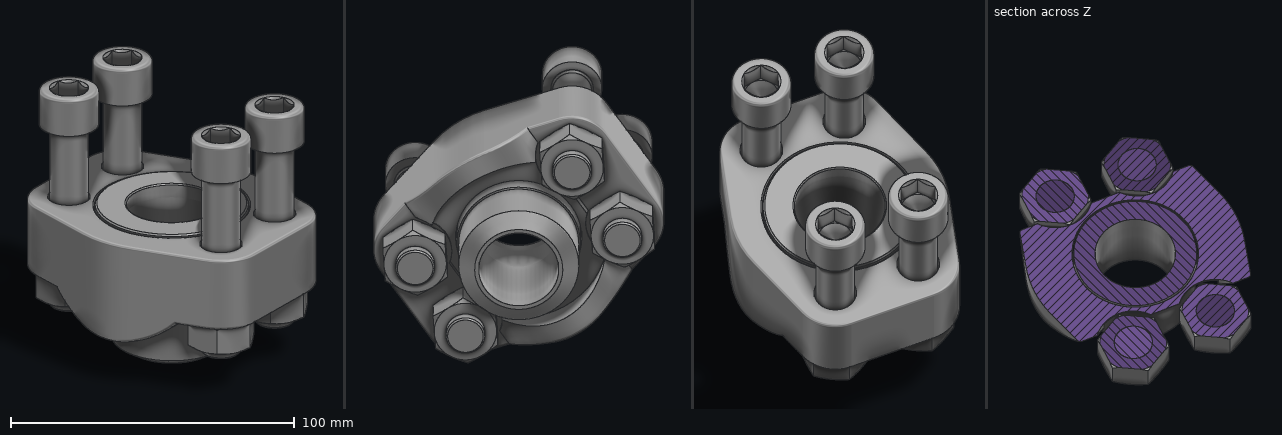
import cadquery as cq
import math

TOTAL_HEIGHT = 96.5
FLANGE_BOTTOM = 27.4
FLANGE_THICKNESS = 26.9
FLANGE_TOP = FLANGE_BOTTOM + FLANGE_THICKNESS

BOLT_SPACING_X = 66.7
BOLT_SPACING_Y = 31.75
BOLT_X = BOLT_SPACING_X / 2
BOLT_Y = BOLT_SPACING_Y / 2
BOLT_PLACES = [(x, y, 0) for x in (-BOLT_X, BOLT_X) for y in (-BOLT_Y, BOLT_Y)]

FLANGE_LENGTH = 96.0
FLANGE_WIDTH = 78.0
CORNER_RADIUS = FLANGE_LENGTH / 2 - BOLT_X
SIDE_RADIUS = FLANGE_WIDTH / 2
FLANGE_EDGE_RADIUS = 1.1
BULGE_DROP = 11.1
BULGE_WIDTH = 52.1
BULGE_BOTTOM = FLANGE_BOTTOM - BULGE_DROP
CLEARANCE_DIAMETER = 62.3
CLEARANCE_FLOOR = 26.5
BOLT_HOLE_DIAMETER = 15.0
NUT_SEAT_DIAMETER = 25.9
FLANGE_BORE_DIAMETER = 44.5
RECESS_DIAMETER = 54.7
RECESS_DEPTH = 14.0
RECESS_FLOOR = FLANGE_TOP - RECESS_DEPTH
RECESS_CHAMFER = 0.5

COLLAR_DIAMETER = 54.0
COLLAR_PROTRUSION = 0.8
COLLAR_CHAMFER = 0.6
COLLAR_TOP = FLANGE_TOP + COLLAR_PROTRUSION
SHOULDER_DIAMETER = 43.5
SHOULDER_BOTTOM = 21.7
SHOULDER_CHAMFER = 0.3
NECK_DIAMETER = 42.4
WELD_BEVEL_HEIGHT = 3.3
WELD_EDGE_BREAK = 0.3
WELD_FACE_DIAMETER = 31.1
BORE_TOP_DIAMETER = 32.0
BORE_DIAMETER = 28.2
BORE_CHAMFER = 0.5
BORE_TOP_DEPTH = 5.3
BORE_TAPER_LENGTH = 17.4

SHANK_DIAMETER = 13.7
BOLT_LENGTH = 70.0
BOLT_END_CHAMFER = 0.6
HEAD_DIAMETER = 21.0
HEAD_HEIGHT = 14.0
HEAD_EDGE_RADIUS = 1.4
HEAD_BOTTOM = TOTAL_HEIGHT - HEAD_HEIGHT
BOLT_END = HEAD_BOTTOM - BOLT_LENGTH
UNDERHEAD_DIAMETER = 15.1
UNDERHEAD_LAND = 0.4
UNDERHEAD_HEIGHT = 1.3
SOCKET_WIDTH = 12.0
SOCKET_DEPTH = 8.0
SOCKET_TIP_ANGLE = 120.0
SOCKET_TURN = 39.0

HEX_SIDES = 6
HEX_HALF_ANGLE = 180.0 / HEX_SIDES

NUT_WIDTH = 22.0
NUT_HEIGHT = 11.0
NUT_CHAMFER_ANGLE = 30.0


def across_corners(width):
    """Corner-to-corner size of a hexagon with the given width across flats."""
    return width / math.cos(math.radians(HEX_HALF_ANGLE))


def revolved(outline):
    """Solid of revolution about Z from (radius, height) points."""
    return cq.Workplane("XZ").polyline(outline).close().revolve(360, (0, 0, 0), (0, 1, 0))


def cylinder(diameter, bottom, top):
    """Upright cylinder on the Z axis between two heights."""
    return cq.Workplane("XY").workplane(offset=bottom).circle(diameter / 2).extrude(top - bottom)


def flange_outline():
    """Plan-shaped prism whose straight flanks are tangent to the side arcs and the corner arcs."""
    diagonal = math.hypot(BOLT_X, BOLT_Y)
    tilt = math.atan2(BOLT_X, BOLT_Y) - math.acos((SIDE_RADIUS - CORNER_RADIUS) / diagonal)
    side_x = SIDE_RADIUS * math.sin(tilt)
    side_y = SIDE_RADIUS * math.cos(tilt)
    flank_x = BOLT_X + CORNER_RADIUS * math.sin(tilt)
    flank_y = BOLT_Y + CORNER_RADIUS * math.cos(tilt)
    mid_angle = (math.pi / 2 - tilt) / 2
    mid_x = BOLT_X + CORNER_RADIUS * math.cos(mid_angle)
    mid_y = BOLT_Y + CORNER_RADIUS * math.sin(mid_angle)
    end_x = FLANGE_LENGTH / 2
    return (
        cq.Workplane("XY")
        .workplane(offset=BULGE_BOTTOM)
        .moveTo(-side_x, side_y)
        .threePointArc((0, SIDE_RADIUS), (side_x, side_y))
        .lineTo(flank_x, flank_y)
        .threePointArc((mid_x, mid_y), (end_x, BOLT_Y))
        .lineTo(end_x, -BOLT_Y)
        .threePointArc((mid_x, -mid_y), (flank_x, -flank_y))
        .lineTo(side_x, -side_y)
        .threePointArc((0, -SIDE_RADIUS), (-side_x, -side_y))
        .lineTo(-flank_x, -flank_y)
        .threePointArc((-mid_x, -mid_y), (-end_x, -BOLT_Y))
        .lineTo(-end_x, BOLT_Y)
        .threePointArc((-mid_x, mid_y), (-flank_x, flank_y))
        .close()
        .extrude(FLANGE_TOP - BULGE_BOTTOM)
    )


def side_profile():
    """Prism along Y with a flat bottom and a round bulge in the middle."""
    half_width = BULGE_WIDTH / 2
    half_length = FLANGE_LENGTH / 2
    return (
        cq.Workplane("XZ", origin=(0, FLANGE_WIDTH / 2, 0))
        .moveTo(-half_length, FLANGE_TOP)
        .lineTo(-half_length, FLANGE_BOTTOM)
        .lineTo(-half_width, FLANGE_BOTTOM)
        .threePointArc((0, BULGE_BOTTOM), (half_width, FLANGE_BOTTOM))
        .lineTo(half_length, FLANGE_BOTTOM)
        .lineTo(half_length, FLANGE_TOP)
        .close()
        .extrude(FLANGE_WIDTH)
    )


def round_rim(flange):
    """Round the top and bottom outlines, leaving the two creases beside the bulge sharp."""
    crease_x = BULGE_WIDTH / 2 + FLANGE_EDGE_RADIUS
    creases = cq.selectors.BoxSelector(
        (-crease_x, -FLANGE_EDGE_RADIUS, BULGE_BOTTOM),
        (crease_x, FLANGE_EDGE_RADIUS, FLANGE_TOP),
    )
    rim = cq.selectors.StringSyntaxSelector("not |Z") - creases
    return flange.edges(rim).fillet(FLANGE_EDGE_RADIUS)


def neck_recess():
    """Recess for the collar, chamfered at its mouth."""
    radius = RECESS_DIAMETER / 2
    return revolved([
        (0, RECESS_FLOOR),
        (radius, RECESS_FLOOR),
        (radius, FLANGE_TOP - RECESS_CHAMFER),
        (radius + RECESS_CHAMFER, FLANGE_TOP),
        (0, FLANGE_TOP),
    ])


def make_flange():
    """Clamp flange, relieved around the neck and nuts and drilled for the bolts."""
    flange = round_rim(flange_outline().intersect(side_profile()))
    flange = flange.cut(cylinder(CLEARANCE_DIAMETER, BULGE_BOTTOM, CLEARANCE_FLOOR))
    flange = flange.cut(cylinder(FLANGE_BORE_DIAMETER, BULGE_BOTTOM, FLANGE_TOP))
    flange = flange.cut(neck_recess())
    hole = cylinder(BOLT_HOLE_DIAMETER, BULGE_BOTTOM, FLANGE_TOP)
    nut_seat = cylinder(NUT_SEAT_DIAMETER, BULGE_BOTTOM, FLANGE_BOTTOM)
    for place in BOLT_PLACES:
        flange = flange.cut(hole.translate(place)).cut(nut_seat.translate(place))
    return flange


def make_neck():
    """Bored weld neck whose collar rests on the floor of the flange recess."""
    collar = COLLAR_DIAMETER / 2
    shoulder = SHOULDER_DIAMETER / 2
    neck = NECK_DIAMETER / 2
    bore = BORE_DIAMETER / 2
    bore_top = BORE_TOP_DIAMETER / 2
    return revolved([
        (bore, 0),
        (WELD_FACE_DIAMETER / 2, 0),
        (neck - WELD_EDGE_BREAK, WELD_BEVEL_HEIGHT),
        (neck, WELD_BEVEL_HEIGHT + WELD_EDGE_BREAK),
        (neck, SHOULDER_BOTTOM),
        (shoulder, SHOULDER_BOTTOM + SHOULDER_CHAMFER),
        (shoulder, RECESS_FLOOR),
        (collar, RECESS_FLOOR),
        (collar, COLLAR_TOP - COLLAR_CHAMFER),
        (collar - COLLAR_CHAMFER, COLLAR_TOP),
        (bore_top + BORE_CHAMFER, COLLAR_TOP),
        (bore_top, COLLAR_TOP - BORE_CHAMFER),
        (bore_top, COLLAR_TOP - BORE_TOP_DEPTH),
        (bore, COLLAR_TOP - BORE_TOP_DEPTH - BORE_TAPER_LENGTH),
    ])


def make_bolt():
    """Socket head bolt on the Z axis, with a coned socket floor and a countersunk socket mouth."""
    shank = SHANK_DIAMETER / 2
    head = cylinder(HEAD_DIAMETER, HEAD_BOTTOM, TOTAL_HEIGHT)
    head = head.faces(">Z").edges().fillet(HEAD_EDGE_RADIUS)
    underhead = UNDERHEAD_DIAMETER / 2
    body = revolved([
        (0, BOLT_END),
        (shank - BOLT_END_CHAMFER, BOLT_END),
        (shank, BOLT_END + BOLT_END_CHAMFER),
        (shank, HEAD_BOTTOM - UNDERHEAD_HEIGHT),
        (underhead, HEAD_BOTTOM - UNDERHEAD_LAND),
        (underhead, HEAD_BOTTOM),
        (0, HEAD_BOTTOM),
    ])
    socket_floor = TOTAL_HEIGHT - SOCKET_DEPTH
    tip_radius = SOCKET_WIDTH / 2
    tip_depth = tip_radius / math.tan(math.radians(SOCKET_TIP_ANGLE / 2))
    hexagon = (
        cq.Workplane("XY").workplane(offset=socket_floor)
        .polygon(HEX_SIDES, across_corners(SOCKET_WIDTH)).extrude(SOCKET_DEPTH)
        .rotate((0, 0, 0), (0, 0, 1), SOCKET_TURN)
    )
    tip = revolved([(0, socket_floor - tip_depth), (tip_radius, socket_floor), (0, socket_floor)])
    mouth = across_corners(SOCKET_WIDTH) / 2
    countersink = revolved([(0, TOTAL_HEIGHT), (mouth, TOTAL_HEIGHT), (0, TOTAL_HEIGHT - mouth)])
    return head.union(body).cut(hexagon).cut(tip).cut(countersink)


def make_nut():
    """Hexagon nut on the Z axis, beveled at both ends and bored to the shank diameter."""
    corner = across_corners(NUT_WIDTH) / 2
    face = NUT_WIDTH / 2
    bevel = (corner - face) * math.tan(math.radians(NUT_CHAMFER_ANGLE))
    bottom = FLANGE_BOTTOM - NUT_HEIGHT
    envelope = revolved([
        (0, bottom),
        (face, bottom),
        (corner, bottom + bevel),
        (corner, FLANGE_BOTTOM - bevel),
        (face, FLANGE_BOTTOM),
        (0, FLANGE_BOTTOM),
    ])
    prism = cq.Workplane("XY").workplane(offset=bottom).polygon(HEX_SIDES, 2 * corner).extrude(NUT_HEIGHT)
    return prism.intersect(envelope).cut(cylinder(SHANK_DIAMETER, bottom, FLANGE_BOTTOM))


flange = make_flange()
neck = make_neck()
bolts = [make_bolt().translate(place) for place in BOLT_PLACES]
nuts = [make_nut().translate(place) for place in BOLT_PLACES]

result = cq.Compound.makeCompound(
    [flange.val(), neck.val(), *[bolt.val() for bolt in bolts], *[nut.val() for nut in nuts]]
)